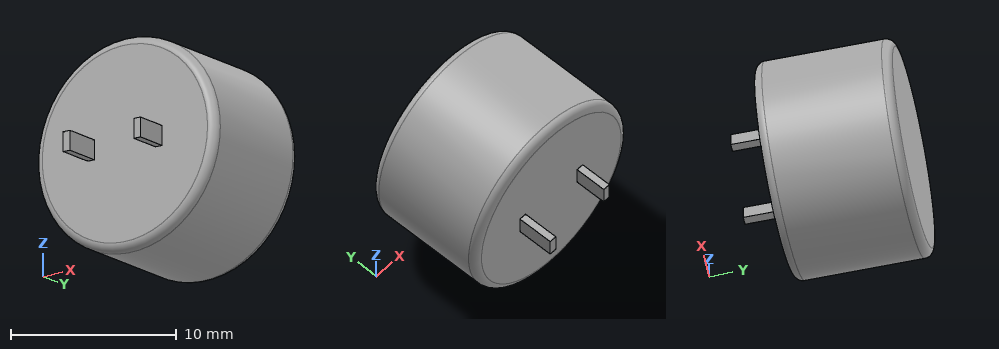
import cadquery as cq

can_diameter = 13.5
can_length = 8.5
rim_radius = 0.55

pin_spacing = 5.08
pin_width = 0.5
pin_height = 1.25
long_pin_length = 2.5
short_pin_length = 2.2


def make_can():
    """Cylinder with both rims rounded; the pin face lies in the plane Y = 0."""
    can = cq.Workplane("XZ").circle(can_diameter / 2).extrude(-can_length)
    return can.edges("%CIRCLE").fillet(rim_radius)


def make_pin(center_x, length):
    """Rectangular pin standing out of the pin face towards -Y."""
    return cq.Workplane("XZ").center(center_x, 0).rect(pin_width, pin_height).extrude(length)


left_pin = make_pin(-pin_spacing / 2, long_pin_length)
right_pin = make_pin(pin_spacing / 2, short_pin_length)
result = make_can().union(left_pin).union(right_pin)